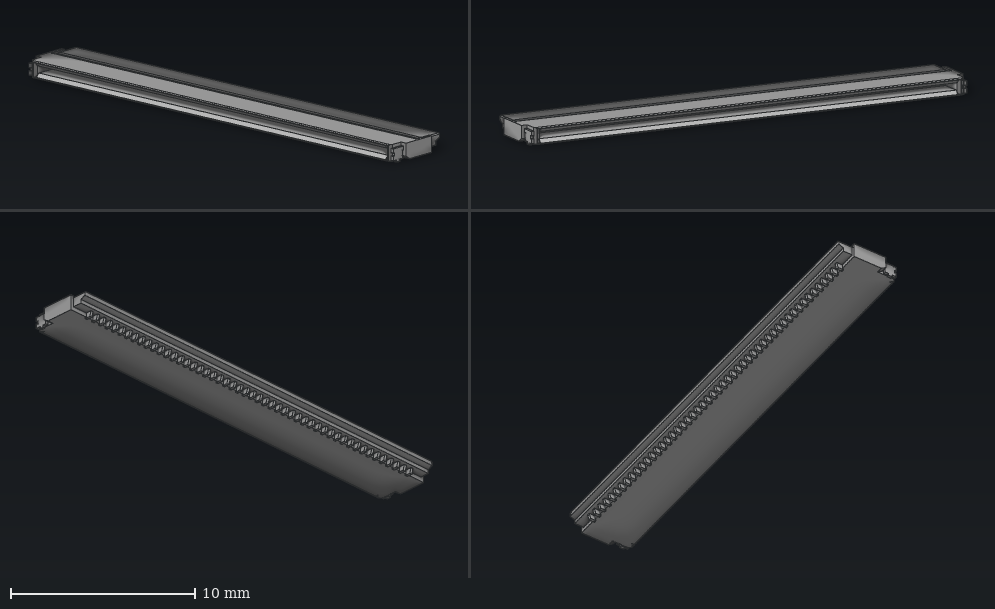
import cadquery as cq
import math


length = 27.0
depth = 3.8
height = 1.0

housing_half_width = 13.14
housing_bottom = 0.06
corner_chamfer = 0.15
top_edge_chamfer = 0.06

wing_front = 0.87
wing_rear = 2.93
wing_relief_length = 0.3
wing_relief_height = 0.2

slot_half_width = 12.76
slot_floor = 0.3
slot_ceiling = 0.74
slot_depth = 1.5
mouth_floor = 0.11
mouth_ceiling = 0.91
mouth_floor_angle = 35.5
mouth_ceiling_angle = 53.0
mouth_side_run = 0.17

bar_half_width = 13.3
recess_front = 1.88
recess_floor = 0.88
bar_front = 2.37
bar_top = 0.95
bar_edge_chamfer = bar_top - recess_floor
bar_bottom = 0.32
bar_rear_height = 0.26
bar_slope_run = 0.3
bar_slope_drop = 0.14

contact_count = 50
contact_pitch = 0.5
tail_width = 0.16
tail_front = 2.85
tail_foot_rear = 3.2
tail_rear = 3.3

nail_front = 0.06
nail_rear = 0.79
nail_step = 0.58
nail_top = 0.8
nail_bottom = 0.12
nail_notch_rear = 0.17
nail_notch_bottom = 0.38
nail_notch_top = 0.55
foot_front = 0.33
foot_rear = 0.58


def block(half_width, y_front, y_rear, z_bottom, z_top):
    """Box centred on X between the given Y and Z limits."""
    size = (2 * half_width, y_rear - y_front, z_top - z_bottom)
    return cq.Workplane("XY").box(*size, centered=(True, False, False)).translate((0, y_front, z_bottom))


def extruded_profile(yz_points, half_width, x_center=0.0):
    """YZ outline extruded along X, symmetric about x_center."""
    profile = cq.Workplane("YZ", origin=(x_center, 0, 0)).polyline(yz_points).close()
    return profile.extrude(half_width, both=True)


def make_housing():
    """Main body with chamfered front corners and top front edge."""
    body = block(housing_half_width, 0, wing_rear, housing_bottom, height)
    body = body.edges("|Z and <Y").chamfer(corner_chamfer)
    return body.faces("<Y").edges(">Z").chamfer(top_edge_chamfer)


def make_wings():
    """Full-length block forming both end wings, relieved at its lower front edge."""
    return extruded_profile(
        [
            (wing_front, housing_bottom + wing_relief_height),
            (wing_front, height),
            (wing_rear, height),
            (wing_rear, housing_bottom),
            (wing_front + wing_relief_length, housing_bottom),
        ],
        length / 2,
    )


def make_slot():
    """Blind cable slot with a floor, ceiling and sides that flare at the mouth."""
    slot = block(slot_half_width, 0, slot_depth, slot_floor, slot_ceiling)
    floor_run = (slot_floor - mouth_floor) / math.tan(math.radians(mouth_floor_angle))
    ceiling_run = (mouth_ceiling - slot_ceiling) / math.tan(math.radians(mouth_ceiling_angle))
    mouth = extruded_profile(
        [
            (0, mouth_floor),
            (floor_run, slot_floor),
            (ceiling_run, slot_ceiling),
            (0, mouth_ceiling),
        ],
        slot_half_width,
    )
    side_flare = (
        cq.Workplane("XY", origin=(0, 0, mouth_floor))
        .polyline(
            [
                (-slot_half_width - mouth_side_run, 0),
                (slot_half_width + mouth_side_run, 0),
                (slot_half_width, mouth_side_run),
                (-slot_half_width, mouth_side_run),
            ]
        )
        .close()
        .extrude(mouth_ceiling - mouth_floor)
        .cut(block(slot_half_width, 0, mouth_side_run, mouth_floor, mouth_ceiling))
    )
    return slot.union(mouth).union(side_flare)


def make_recess():
    """Shallow step in the top, running from the housing's top face to its rear."""
    return block(bar_half_width, recess_front, depth, recess_floor, height)


def make_bar():
    """Actuator bar with chamfered top edges and an undercut rear edge."""
    bar = extruded_profile(
        [
            (bar_front, bar_bottom),
            (bar_front, bar_top),
            (depth, bar_top),
            (depth, bar_top - bar_rear_height),
            (depth - bar_slope_run, bar_top - bar_rear_height - bar_slope_drop),
            (depth - bar_slope_run, bar_bottom),
        ],
        bar_half_width,
    )
    return bar.faces(">Z").edges("<Y or |Y").chamfer(bar_edge_chamfer)


def make_tail(x_center):
    """Contact tail standing on the solder plane behind the housing."""
    return extruded_profile(
        [
            (tail_front, 0),
            (tail_front, bar_bottom),
            (tail_rear, bar_bottom),
            (tail_foot_rear, 0),
        ],
        tail_width / 2,
        x_center,
    )


def make_nails():
    """Solder nails flanking the mouth, each with a front notch and a foot."""
    nails = block(bar_half_width, nail_front, nail_rear, nail_bottom, nail_top)
    arms = block(bar_half_width, nail_front, wing_front, nail_step, nail_top)
    feet = block(bar_half_width, foot_front, foot_rear, 0, nail_bottom)
    inner = block(housing_half_width, 0, wing_front, 0, height)
    notches = block(bar_half_width, nail_front, nail_notch_rear, nail_notch_bottom, nail_notch_top)
    return nails.union(arms).union(feet).cut(inner).cut(notches)


result = make_housing().union(make_wings())
result = result.cut(make_slot()).cut(make_recess()).union(make_bar()).union(make_nails())
for index in range(contact_count):
    result = result.union(make_tail((index - (contact_count - 1) / 2) * contact_pitch))